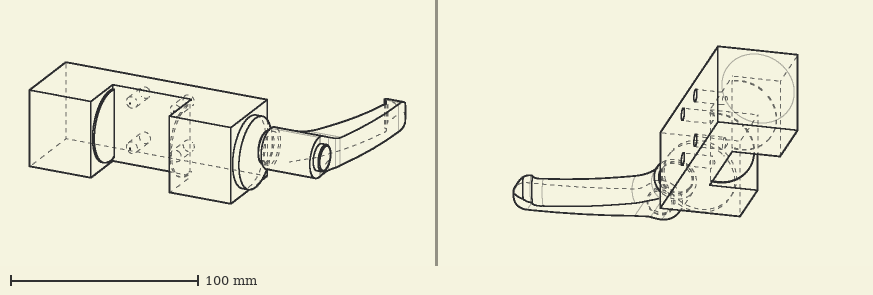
import cadquery as cq
import math

BLOCK_LENGTH = 120.0
BLOCK_SIDE = 44.0
SLOT_START = 36.6
SLOT_END = 83.4
SLOT_FLOOR_Y = 26.5

PLUG_DIAMETER = 40.0
PLUG_SLOT_RISE = 1.0
PLUG_OUTER_RISE = 3.7

DRILL_DIAMETER = 6.6
DRILL_POINT_ANGLE = 118.0
DRILL_SPACING = 26.1
BREAKTHROUGH_DIAMETER = 0.3

HUB_Y = 33.9
HUB_Z = -1.0
HUB_START = 126.9
HUB_END = 155.9
HUB_RADIUS = 11.5
NECK_DIAMETER = 18.5
NECK_CHAMFER = 0.5
CAP_DIAMETER = 14.7
CAP_END = 159.5
CAP_CHAMFER = 0.7
ARM_HALF_WIDTH = 8.0
ARM_TIP_RADIUS = 78.8
FLARE_RADIUS = 14.7

ROOT_RADIUS = 11.7
ROOT_END_X = 133.0
ROOT_FILLET_MID = (140.5, 13.7)
ROOT_FILLET_END = (146.0, 19.0)
FRONT_MID = (155.9, 40.0)
FRONT_END = (162.3, 64.4)
WAIST_MID = (162.5, 68.1)
WAIST_END = (160.6, 70.5)
HEAD_CORNER_MID = (159.8, 71.0)
HEAD_FRONT_X = 159.5
HEAD_FRONT_START_RADIUS = 71.8
HEAD_FRONT_END_RADIUS = 75.7
HEAD_TOP_MID = (162.5, 78.0)
HEAD_TOP_X = 166.0
HEAD_BACK_MID = (168.5, 78.1)
HEAD_BACK_RADIUS = 76.0

BACK_X = 169.5
HUB_END_TOP = 1.4
HEEL_FILLET_END = (158.0, 6.5)
HEEL_END = (161.0, 9.1)
HEEL_CORNER_END = (162.3, 11.5)
BACK_MID = (167.5, 39.8)
BACK_END = 68.1

MARGIN = 1.7

NECK_START = BLOCK_LENGTH + PLUG_OUTER_RISE
BLOCK_MID_Y = BLOCK_SIDE / 2
SLOT_MID_X = (SLOT_START + SLOT_END) / 2


def cylinder_x(start, end, diameter, y, z):
    """Cylinder along X between two X positions."""
    return (
        cq.Workplane("YZ", origin=(start, y, z))
        .circle(diameter / 2)
        .extrude(end - start)
    )


def make_drill():
    """Drill shape along +Y: a cone through the slot floor, then a straight shank."""
    cone_slope = math.tan(math.radians(DRILL_POINT_ANGLE / 2))
    drill_radius = DRILL_DIAMETER / 2
    point_y = SLOT_FLOOR_Y - BREAKTHROUGH_DIAMETER / 2 / cone_slope
    shoulder_y = point_y + drill_radius / cone_slope
    return (
        cq.Workplane("XY")
        .moveTo(0, point_y)
        .lineTo(drill_radius, shoulder_y)
        .lineTo(drill_radius, BLOCK_SIDE)
        .lineTo(0, BLOCK_SIDE)
        .close()
        .revolve(360, (0, 0, 0), (0, 1, 0))
    )


def make_block():
    block = cq.Workplane("XY").box(
        BLOCK_LENGTH, BLOCK_SIDE, BLOCK_SIDE, centered=(False, False, True)
    )
    slot = cq.Workplane("XY").box(
        SLOT_END - SLOT_START, SLOT_FLOOR_Y, BLOCK_SIDE, centered=(False, False, True)
    )
    block = block.cut(slot.translate((SLOT_START, 0, 0)))

    plug_spans = [
        (0, SLOT_START + PLUG_SLOT_RISE),
        (SLOT_END - PLUG_SLOT_RISE, NECK_START),
    ]
    for start, end in plug_spans:
        plug = cylinder_x(start, end, PLUG_DIAMETER, BLOCK_MID_Y, 0)
        block = block.union(plug, clean=False)

    drill = make_drill()
    for side_x in (-1, 1):
        for side_z in (-1, 1):
            hole_x = SLOT_MID_X + side_x * DRILL_SPACING / 2
            hole_z = side_z * DRILL_SPACING / 2
            hole = drill.translate((hole_x, 0, hole_z))
            block = block.cut(hole, clean=False)
    return block


def polar(radius, angle):
    return radius * math.cos(angle), radius * math.sin(angle)


def mirrored(point):
    return point[0], -point[1]


def make_arm_section():
    """Upper half of the hub, flaring into the arm with its round tip, run along X."""
    flare_centre_z = ARM_HALF_WIDTH + FLARE_RADIUS
    flare_angle = math.asin(flare_centre_z / (HUB_RADIUS + FLARE_RADIUS))
    mid_angle = (flare_angle + math.pi / 2) / 2
    hub_mid = polar(HUB_RADIUS, mid_angle)
    flare_start = polar(HUB_RADIUS, flare_angle)
    flare_centre_y = polar(HUB_RADIUS + FLARE_RADIUS, flare_angle)[0]
    mid_offset = polar(FLARE_RADIUS, mid_angle)
    flare_mid = (flare_centre_y - mid_offset[0], flare_centre_z - mid_offset[1])
    flare_end = (flare_centre_y, ARM_HALF_WIDTH)
    tip_start = (ARM_TIP_RADIUS - ARM_HALF_WIDTH, ARM_HALF_WIDTH)
    return (
        cq.Workplane("YZ", origin=(HUB_START, HUB_Y, HUB_Z))
        .moveTo(0, -HUB_RADIUS)
        .lineTo(0, HUB_RADIUS)
        .threePointArc(hub_mid, flare_start)
        .threePointArc(flare_mid, flare_end)
        .lineTo(*tip_start)
        .threePointArc((ARM_TIP_RADIUS, 0), mirrored(tip_start))
        .lineTo(*mirrored(flare_end))
        .threePointArc(mirrored(flare_mid), mirrored(flare_start))
        .threePointArc(mirrored(hub_mid), (0, -HUB_RADIUS))
        .close()
        .extrude(BACK_X + MARGIN - HUB_START)
    )


def make_arm_front():
    """Solid of revolution about the hub axis that shapes the arm's front and tip."""
    return (
        cq.Workplane("XY", origin=(0, HUB_Y, HUB_Z))
        .moveTo(HUB_START, 0)
        .lineTo(HUB_START, ROOT_RADIUS)
        .lineTo(ROOT_END_X, ROOT_RADIUS)
        .threePointArc(ROOT_FILLET_MID, ROOT_FILLET_END)
        .threePointArc(FRONT_MID, FRONT_END)
        .threePointArc(WAIST_MID, WAIST_END)
        .threePointArc(HEAD_CORNER_MID, (HEAD_FRONT_X, HEAD_FRONT_START_RADIUS))
        .lineTo(HEAD_FRONT_X, HEAD_FRONT_END_RADIUS)
        .threePointArc(HEAD_TOP_MID, (HEAD_TOP_X, ARM_TIP_RADIUS))
        .threePointArc(HEAD_BACK_MID, (BACK_X, HEAD_BACK_RADIUS))
        .lineTo(BACK_X, 0)
        .close()
        .revolve(360, (0, 0, 0), (1, 0, 0))
    )


def make_arm_back():
    """Plate whose +X edge is the curved back of the arm, down to the hub end face."""
    half_thickness = HUB_RADIUS + MARGIN
    return (
        cq.Workplane("XY", origin=(0, HUB_Y, HUB_Z - half_thickness))
        .moveTo(HUB_START, 0)
        .lineTo(HUB_END, 0)
        .lineTo(HUB_END, HUB_END_TOP)
        .tangentArcPoint(HEEL_FILLET_END, relative=False)
        .lineTo(*HEEL_END)
        .tangentArcPoint(HEEL_CORNER_END, relative=False)
        .threePointArc(BACK_MID, (BACK_X, BACK_END))
        .lineTo(BACK_X, ARM_TIP_RADIUS + MARGIN)
        .lineTo(HUB_START, ARM_TIP_RADIUS + MARGIN)
        .close()
        .extrude(2 * half_thickness)
    )


def make_lever():
    arm = make_arm_section().intersect(make_arm_front()).intersect(make_arm_back())
    hub = cylinder_x(HUB_START, HUB_END, 2 * HUB_RADIUS, HUB_Y, HUB_Z)
    neck = cylinder_x(NECK_START, HUB_START, NECK_DIAMETER, HUB_Y, HUB_Z)
    neck = neck.faces("<X").chamfer(NECK_CHAMFER)
    cap = cylinder_x(HUB_END, CAP_END, CAP_DIAMETER, HUB_Y, HUB_Z)
    cap = cap.faces(">X").chamfer(CAP_CHAMFER)
    return hub.union(neck).union(arm, clean=False).union(cap, clean=False)


block = make_block()
lever = make_lever()
result = cq.Compound.makeCompound([block.solids().val(), lever.solids().val()])